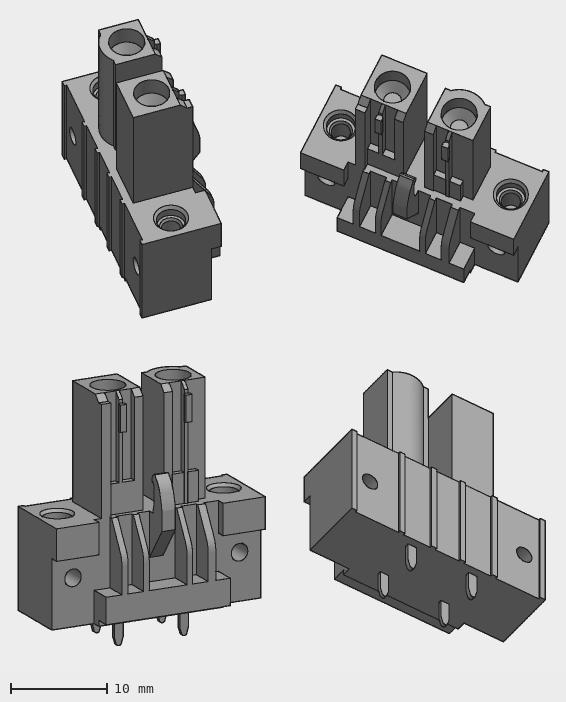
import cadquery as cq
import math


base_width = 24.42
base_height = 11.35
front_face_y = -3.84
front_rib_depth = 0.27
front_rib_width = 0.65
wing_back_y = 4.67
wall_back_y = 3.6
wing_underside_z = 7.8
pole_x = 3.82
rib_offset_from_pole = 2.0

carrier_width = 14.5
carrier_back_y = 6.32
carrier_floor_z = 3.64
carrier_step_z = 0.64
gusset_top_y = 3.96
gusset_slope_angle = 32.0
gusset_blend_radius = 2.76
gusset_spans = [(-5.57, -4.67), (-2.86, -2.21), (2.21, 2.86), (4.68, 5.41)]

latch_width = 1.58
overall_depth = 10.54
latch_back_y = front_face_y - front_rib_depth + overall_depth
latch_tip_z = 15.64
latch_neck = (4.31, base_height)
latch_shank_bottom = (wing_back_y, 12.5)
latch_shank_top = (wing_back_y, 14.1)
latch_throat_mid = (4.53, 14.53)
latch_nose_bottom = (4.21, 14.73)
latch_nose_mid = (4.17, 14.95)
latch_nose_top = (4.21, 15.2)
latch_brow = (4.4, 15.48)
latch_tip_front = (4.6, latch_tip_z)
latch_tip_back = (4.82, latch_tip_z)
latch_shoulder_top = (5.23, 15.17)
latch_shoulder_mid = (5.68, 14.58)
latch_shoulder_bottom = (6.05, 13.65)
latch_back_arc_mid = (6.28, 12.9)
latch_back_top = (latch_back_y, 12.1)
latch_back_bottom = (latch_back_y, 9.9)
latch_root = (wall_back_y, 6.3)

tower_width = 5.2
tower_height = 13.19
tower_top_z = base_height + tower_height
tower_back_y = 2.22
square_tower_front_y = -2.98
round_tower_flat_y = -2.18
round_tower_radius = 2.92
pad_back_y = 2.97
pad_width = 1.0
pad_bevel = pad_back_y - tower_back_y
shelf_top_z = 14.73
left_shelf_back_y = 2.88
left_shelf_edge_x = -5.3
web_width = 0.42
key_width = 0.73
key_flare_y = 3.2
key_bottom_z = 20.4
key_top_z = 23.38
post_width = 1.1
post_top_z = tower_top_z - pad_bevel

socket_diameter = 3.75
socket_depth = 2.05
funnel_end_diameter = 1.85
funnel_depth = 0.95

screw_x = 9.73
screw_hole_diameter = 3.04
screw_hole_chamfer_width = 0.3
screw_hole_chamfer_depth = 0.35
insert_depth = 1.25
insert_length = 3.0
insert_bore_diameter = 2.0
insert_chamfer_width = 0.19
insert_chamfer_depth = 0.3
cross_hole_diameter = 1.92
cross_hole_z = 5.35

pin_width = 1.04
pin_length = 3.2
pin_taper_length = 0.95
pin_tip_length = 0.33
pin_tip_width = 0.66
pin_rows = [(2.31, 0.4), (-2.73, 0.5)]


def block(x_span, y_span, z_span):
    """Box between two limits on each axis."""
    (x0, x1), (y0, y1), (z0, z1) = x_span, y_span, z_span
    return cq.Workplane("XY").box(x1 - x0, y1 - y0, z1 - z0, centered=False).translate((x0, y0, z0))


def side_plane(x):
    """Sketch plane at the given X, with local axes Y and Z, extruding toward +X."""
    return cq.Workplane("YZ", origin=(x, 0, 0))


def make_base():
    half = base_width / 2
    lower = block((-half, half), (front_face_y, wall_back_y), (0, base_height))
    wing = block((-half, half), (wall_back_y, wing_back_y), (wing_underside_z, base_height))
    gap_half = carrier_width / 2
    gap = block((-gap_half, gap_half), (wall_back_y, wing_back_y), (wing_underside_z, base_height))
    base = lower.union(wing.cut(gap))
    edge_rib_x = half - front_rib_width / 2
    rib_centers = [-edge_rib_x, edge_rib_x]
    for axis_x in (-pole_x, pole_x):
        rib_centers += [axis_x - rib_offset_from_pole, axis_x + rib_offset_from_pole]
    for x in rib_centers:
        x_span = (x - front_rib_width / 2, x + front_rib_width / 2)
        y_span = (front_face_y - front_rib_depth, front_face_y)
        base = base.union(block(x_span, y_span, (0, base_height)))
    return base


def make_carrier():
    """Stepped ledge behind the rear wall with four curved gussets."""
    half = carrier_width / 2
    carrier = (
        side_plane(-half)
        .moveTo(wall_back_y, 0)
        .lineTo(wing_back_y, 0)
        .lineTo(wing_back_y, carrier_step_z)
        .lineTo(carrier_back_y, carrier_step_z)
        .lineTo(carrier_back_y, carrier_floor_z)
        .lineTo(wall_back_y, carrier_floor_z)
        .close()
        .extrude(carrier_width)
    )
    angle = math.radians(gusset_slope_angle)
    blend_center_y = carrier_back_y - gusset_blend_radius
    blend_top_y = blend_center_y + gusset_blend_radius * math.cos(angle)
    blend_top_z = base_height - (blend_top_y - gusset_top_y) / math.tan(angle)
    blend_center_z = blend_top_z - gusset_blend_radius * math.sin(angle)
    blend_mid = (
        blend_center_y + gusset_blend_radius * math.cos(angle / 2),
        blend_center_z + gusset_blend_radius * math.sin(angle / 2),
    )
    for x0, x1 in gusset_spans:
        gusset = (
            side_plane(x0)
            .moveTo(wall_back_y, carrier_floor_z)
            .lineTo(carrier_back_y, carrier_floor_z)
            .lineTo(carrier_back_y, blend_center_z)
            .threePointArc(blend_mid, (blend_top_y, blend_top_z))
            .lineTo(gusset_top_y, base_height)
            .lineTo(wall_back_y, base_height)
            .close()
            .extrude(x1 - x0)
        )
        carrier = carrier.union(gusset)
    return carrier


def make_latch():
    """Hooked lever that rises from the rear wall between the towers."""
    return (
        side_plane(-latch_width / 2)
        .moveTo(wall_back_y, base_height)
        .lineTo(*latch_neck)
        .lineTo(*latch_shank_bottom)
        .lineTo(*latch_shank_top)
        .threePointArc(latch_throat_mid, latch_nose_bottom)
        .threePointArc(latch_nose_mid, latch_nose_top)
        .lineTo(*latch_brow)
        .lineTo(*latch_tip_front)
        .lineTo(*latch_tip_back)
        .lineTo(*latch_shoulder_top)
        .threePointArc(latch_shoulder_mid, latch_shoulder_bottom)
        .threePointArc(latch_back_arc_mid, latch_back_top)
        .lineTo(*latch_back_bottom)
        .lineTo(*latch_root)
        .close()
        .extrude(latch_width)
    )


def beveled_pad(x_span):
    """Full-height strip on the back of a tower, bevelled at the top."""
    x0, x1 = x_span
    return (
        side_plane(x0)
        .moveTo(tower_back_y, base_height)
        .lineTo(pad_back_y, base_height)
        .lineTo(pad_back_y, tower_top_z - pad_bevel)
        .lineTo(tower_back_y, tower_top_z)
        .close()
        .extrude(x1 - x0)
    )


def make_key(axis_x):
    """Web with a short flared key on its back."""
    web = beveled_pad((axis_x - web_width / 2, axis_x + web_width / 2))
    key = (
        cq.Workplane("XY", origin=(axis_x, 0, key_bottom_z))
        .moveTo(-web_width / 2, pad_back_y)
        .lineTo(web_width / 2, pad_back_y)
        .lineTo(key_width / 2, key_flare_y)
        .lineTo(key_width / 2, wall_back_y)
        .lineTo(-key_width / 2, wall_back_y)
        .lineTo(-key_width / 2, key_flare_y)
        .close()
        .extrude(key_top_z - key_bottom_z)
    )
    return web.union(key)


def make_left_tower():
    """Tower with a rounded front, one pad and a low shelf."""
    x0 = -pole_x - tower_width / 2
    x1 = -pole_x + tower_width / 2
    tower = block((x0, x1), (round_tower_flat_y, tower_back_y), (base_height, tower_top_z))
    barrel = (
        cq.Workplane("XY", origin=(-pole_x, 0, base_height))
        .circle(round_tower_radius)
        .extrude(tower_height)
    )
    front_zone = block((x0, x1), (-round_tower_radius, 0), (base_height, tower_top_z))
    shelf = block(
        (left_shelf_edge_x, x1 - pad_width), (tower_back_y, left_shelf_back_y), (base_height, shelf_top_z)
    )
    return (
        tower.union(barrel.intersect(front_zone))
        .union(shelf)
        .union(beveled_pad((x1 - pad_width, x1)))
        .union(make_key(-pole_x))
    )


def make_right_tower():
    """Square tower with two pads, a low shelf and a corner post."""
    x0 = pole_x - tower_width / 2
    x1 = pole_x + tower_width / 2
    tower = block((x0, x1), (square_tower_front_y, tower_back_y), (base_height, tower_top_z))
    shelf = block((x0, x1), (tower_back_y, pad_back_y), (base_height, shelf_top_z))
    post = block((x1 - post_width, x1), (pad_back_y, wall_back_y), (base_height, post_top_z))
    return (
        tower.union(shelf)
        .union(beveled_pad((x0, x0 + pad_width)))
        .union(beveled_pad((x1 - post_width, x1)))
        .union(post)
        .union(make_key(pole_x))
    )


def socket_cutter(axis_x):
    """Round socket that ends in a funnel with a flat floor."""
    funnel_end_z = tower_top_z - socket_depth - funnel_depth
    return (
        cq.Workplane("XZ", origin=(axis_x, 0, 0))
        .moveTo(0, tower_top_z)
        .lineTo(socket_diameter / 2, tower_top_z)
        .lineTo(socket_diameter / 2, tower_top_z - socket_depth)
        .lineTo(funnel_end_diameter / 2, funnel_end_z)
        .lineTo(0, funnel_end_z)
        .close()
        .revolve(360, (0, 0, 0), (0, 1, 0))
    )


def screw_hole_cutter(axis_x):
    """Blind chamfered hole that holds an insert below its mouth."""
    radius = screw_hole_diameter / 2
    bottom_z = base_height - insert_depth - insert_length
    return (
        cq.Workplane("XZ", origin=(axis_x, 0, 0))
        .moveTo(0, base_height)
        .lineTo(radius + screw_hole_chamfer_width, base_height)
        .lineTo(radius, base_height - screw_hole_chamfer_depth)
        .lineTo(radius, bottom_z)
        .lineTo(0, bottom_z)
        .close()
        .revolve(360, (0, 0, 0), (0, 1, 0))
    )


def cross_hole_cutter(axis_x):
    """Hole along Y through the flange."""
    return (
        cq.Workplane("XZ", origin=(axis_x, wing_back_y, cross_hole_z))
        .circle(cross_hole_diameter / 2)
        .extrude(wing_back_y - front_face_y)
    )


def make_housing():
    housing = make_base().union(make_carrier()).union(make_latch())
    housing = housing.union(make_left_tower()).union(make_right_tower())
    for x in (-pole_x, pole_x):
        housing = housing.cut(socket_cutter(x))
    for x in (-screw_x, screw_x):
        housing = housing.cut(screw_hole_cutter(x)).cut(cross_hole_cutter(x))
    return housing


def make_insert(axis_x):
    """Sleeve with a chamfered bore, seated in a flange screw hole."""
    top_z = base_height - insert_depth
    bottom_z = top_z - insert_length
    bore_radius = insert_bore_diameter / 2
    outer_radius = screw_hole_diameter / 2
    return (
        cq.Workplane("XZ", origin=(axis_x, 0, 0))
        .moveTo(outer_radius, bottom_z)
        .lineTo(outer_radius, top_z)
        .lineTo(bore_radius + insert_chamfer_width, top_z)
        .lineTo(bore_radius, top_z - insert_chamfer_depth)
        .lineTo(bore_radius, bottom_z)
        .close()
        .revolve(360, (0, 0, 0), (0, 1, 0))
    )


def make_pin(axis_x, center_y, thickness):
    """Flat solder pin with tapered sides and a rounded tip, butted on the underside."""
    taper_z = pin_taper_length - pin_length
    tip_z = pin_tip_length - pin_length
    return (
        cq.Workplane("XZ", origin=(axis_x, center_y + thickness / 2, 0))
        .moveTo(-pin_width / 2, 0)
        .lineTo(-pin_width / 2, taper_z)
        .lineTo(-pin_tip_width / 2, tip_z)
        .threePointArc((0, -pin_length), (pin_tip_width / 2, tip_z))
        .lineTo(pin_width / 2, taper_z)
        .lineTo(pin_width / 2, 0)
        .close()
        .extrude(thickness)
    )


housing = make_housing()
inserts = [make_insert(x) for x in (-screw_x, screw_x)]
pins = [make_pin(x, y, thickness) for x in (-pole_x, pole_x) for y, thickness in pin_rows]

result = cq.Compound.makeCompound([body.val() for body in [housing] + inserts + pins])